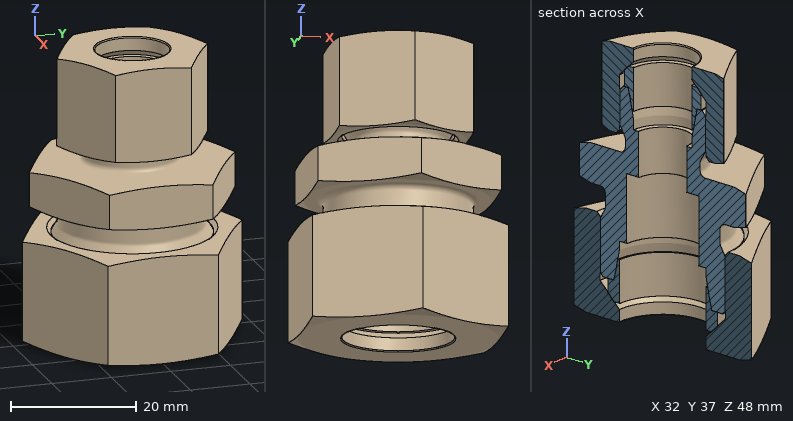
import cadquery as cq
import math


TOTAL_HEIGHT = 48.0
BODY_HEX_ACROSS_FLATS = 30.0
HEX_CHAMFER_ANGLE = 15.0

BORE_LEAD_IN = 0.2
CONE_DEPTH = 2.3
RING_DEPTH = 3.3
BODY_TIP_DEPTH = 7.0
RING_NOSE_LENGTH = 3.85
SEAT_HALF_ANGLE = 12.0
TUBE_SOCKET_LENGTH = 7.0
MOUTH_CHAMFER = 0.65
NECK_FILLET = 1.0
RELIEF_ANGLE = 30.0


class End:
    """The sizes of one end of the fitting."""

    def __init__(self, nut_across_flats, nut_height, neck_gap, relief_gap, neck_diameter,
                 thread_diameter, tip_diameter, seat_diameter, ring_diameter,
                 tube_diameter, flow_diameter):
        self.nut_across_flats = nut_across_flats
        self.nut_height = nut_height
        self.hex_face_depth = nut_height + neck_gap
        self.relief_depth = nut_height + relief_gap
        self.neck_radius = neck_diameter / 2
        self.thread_radius = thread_diameter / 2
        self.tip_radius = tip_diameter / 2
        self.seat_radius = seat_diameter / 2
        self.ring_radius = ring_diameter / 2
        self.tube_radius = tube_diameter / 2
        self.flow_radius = flow_diameter / 2


UPPER = End(
    nut_across_flats=22.0, nut_height=15.5, neck_gap=3.0, relief_gap=0.6, neck_diameter=15.7,
    thread_diameter=18.0, tip_diameter=16.35, seat_diameter=14.3, ring_diameter=16.0,
    tube_diameter=12.0, flow_diameter=10.0,
)
LOWER = End(
    nut_across_flats=32.0, nut_height=18.0, neck_gap=4.5, relief_gap=1.15, neck_diameter=24.0,
    thread_diameter=26.0, tip_diameter=24.8, seat_diameter=20.3, ring_diameter=23.0,
    tube_diameter=18.0, flow_diameter=15.0,
)

BODY_HEX_BOTTOM = LOWER.hex_face_depth
BODY_HEX_HEIGHT = TOTAL_HEIGHT - UPPER.hex_face_depth - LOWER.hex_face_depth


def revolve(outline):
    """Turn a closed (radius, height) outline in the XZ plane around the Z axis."""
    return outline.close().revolve(360, (0, 0, 0), (0, 1, 0))


def turned(points):
    """A round solid from the (radius, height) corners of its half section."""
    return revolve(cq.Workplane("XZ").polyline(points))


def place_upper(shape):
    return shape.translate((0, 0, TOTAL_HEIGHT))


def place_lower(shape):
    return shape.rotate((0, 0, 0), (1, 0, 0), 180)


def chamfered_hexagon(across_flats, height):
    """A hexagon standing on Z = 0 with flats on +-X and its corners chamfered at both ends."""
    flat_radius = across_flats / 2
    corner_radius = flat_radius / math.cos(math.radians(30))
    corner_drop = (corner_radius - flat_radius) * math.tan(math.radians(HEX_CHAMFER_ANGLE))
    prism = (
        cq.Workplane("XY").polygon(6, 2 * corner_radius).extrude(height)
        .rotate((0, 0, 0), (0, 0, 1), 30)
    )
    envelope = turned([
        (0, 0),
        (flat_radius, 0),
        (corner_radius, corner_drop),
        (corner_radius, height - corner_drop),
        (flat_radius, height),
        (0, height),
    ])
    return prism.intersect(envelope)


def nut(end):
    """Hexagon nut: tube hole, 45 degree clamping cone, threaded bore and chamfered mouth."""
    hexagon = chamfered_hexagon(end.nut_across_flats, end.nut_height)
    hexagon = hexagon.translate((0, 0, -end.nut_height))
    thread_depth = CONE_DEPTH + end.thread_radius - end.tube_radius
    cavity = turned([
        (0, 0),
        (end.tube_radius + BORE_LEAD_IN, 0),
        (end.tube_radius, -BORE_LEAD_IN),
        (end.tube_radius, -CONE_DEPTH),
        (end.thread_radius, -thread_depth),
        (end.thread_radius, MOUTH_CHAMFER - end.nut_height),
        (end.thread_radius + MOUTH_CHAMFER, -end.nut_height),
        (0, -end.nut_height),
    ])
    return hexagon.cut(cavity)


def seat_radius_at(end, distance):
    """Radius of the body's cone at a distance inside the body tip."""
    return end.seat_radius - distance * math.tan(math.radians(SEAT_HALF_ANGLE))


def cutting_ring(end):
    """Ring whose 45 degree shoulder lies on the nut's cone and whose nose fills the body's cone."""
    rear_radius = end.tube_radius + RING_DEPTH - CONE_DEPTH
    collar_depth = CONE_DEPTH + end.ring_radius - end.tube_radius
    nose_depth = BODY_TIP_DEPTH + RING_NOSE_LENGTH
    return turned([
        (end.tube_radius, -RING_DEPTH),
        (rear_radius, -RING_DEPTH),
        (end.ring_radius, -collar_depth),
        (end.ring_radius, -BODY_TIP_DEPTH),
        (end.seat_radius, -BODY_TIP_DEPTH),
        (seat_radius_at(end, RING_NOSE_LENGTH), -nose_depth),
        (end.tube_radius, -nose_depth),
    ])


def spigot(end):
    """Solid threaded end of the body, with a relieved neck that flares into the body hexagon."""
    flare_radius = end.neck_radius + NECK_FILLET
    root_depth = end.hex_face_depth + BODY_HEX_HEIGHT / 2
    diagonal = NECK_FILLET * math.sqrt(0.5)

    def relief_point(angle):
        """Point on the arc that turns from the straight neck towards the thread."""
        turn = math.radians(angle)
        return (
            end.neck_radius + NECK_FILLET * (1 - math.cos(turn)),
            NECK_FILLET * math.sin(turn) - end.relief_depth,
        )

    relief_end = relief_point(RELIEF_ANGLE)
    slope_height = (end.thread_radius - relief_end[0]) / math.tan(math.radians(RELIEF_ANGLE))
    tip_chamfer = end.thread_radius - end.tip_radius
    return revolve(
        cq.Workplane("XZ")
        .moveTo(0, -root_depth)
        .lineTo(flare_radius, -root_depth)
        .lineTo(flare_radius, -end.hex_face_depth)
        .threePointArc(
            (flare_radius - diagonal, NECK_FILLET - diagonal - end.hex_face_depth),
            (end.neck_radius, NECK_FILLET - end.hex_face_depth),
        )
        .lineTo(end.neck_radius, -end.relief_depth)
        .threePointArc(relief_point(RELIEF_ANGLE / 2), relief_end)
        .lineTo(end.thread_radius, relief_end[1] + slope_height)
        .lineTo(end.thread_radius, -BODY_TIP_DEPTH - tip_chamfer)
        .lineTo(end.tip_radius, -BODY_TIP_DEPTH)
        .lineTo(0, -BODY_TIP_DEPTH)
    )


def socket(end):
    """Space cut from one end of the body: ring cone, tube socket, and flow bore to mid-hexagon."""
    cone_length = (end.seat_radius - end.tube_radius) / math.tan(math.radians(SEAT_HALF_ANGLE))
    stop_depth = BODY_TIP_DEPTH + TUBE_SOCKET_LENGTH
    bore_end_depth = end.hex_face_depth + BODY_HEX_HEIGHT / 2
    return turned([
        (0, -BODY_TIP_DEPTH),
        (end.seat_radius, -BODY_TIP_DEPTH),
        (end.tube_radius, -BODY_TIP_DEPTH - cone_length),
        (end.tube_radius, -stop_depth),
        (end.flow_radius, -stop_depth),
        (end.flow_radius, -bore_end_depth),
        (0, -bore_end_depth),
    ])


def fitting_body():
    """Hexagon with a threaded spigot on each side, bored right through."""
    hexagon = chamfered_hexagon(BODY_HEX_ACROSS_FLATS, BODY_HEX_HEIGHT)
    return (
        hexagon.translate((0, 0, BODY_HEX_BOTTOM))
        .union(place_upper(spigot(UPPER)))
        .union(place_lower(spigot(LOWER)))
        .cut(place_upper(socket(UPPER)))
        .cut(place_lower(socket(LOWER)))
    )


body = fitting_body()
upper_nut = place_upper(nut(UPPER))
lower_nut = place_lower(nut(LOWER))
upper_ring = place_upper(cutting_ring(UPPER))
lower_ring = place_lower(cutting_ring(LOWER))

result = cq.Compound.makeCompound([
    body.val(),
    upper_nut.val(),
    lower_nut.val(),
    upper_ring.val(),
    lower_ring.val(),
])